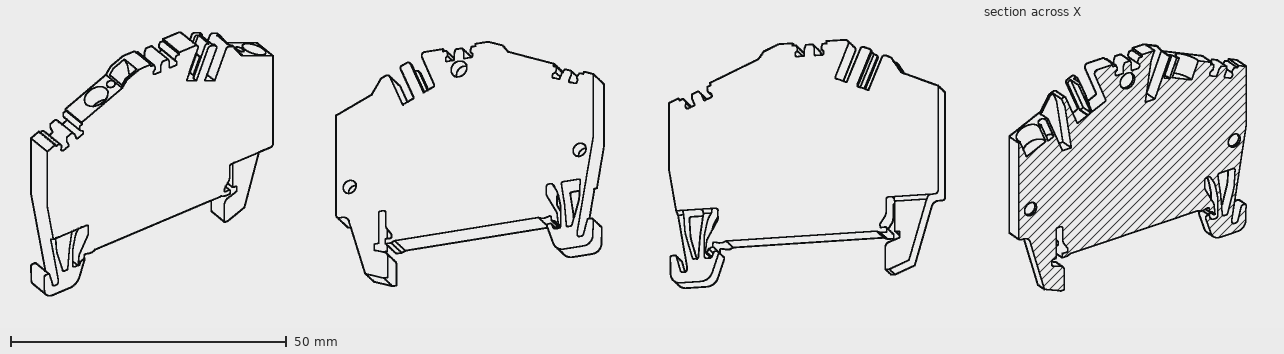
import cadquery as cq
import math

LENGTH = 50.5
HEIGHT = 43.25
WIDTH = 5.1
HALF_LENGTH = LENGTH / 2
TILT = math.radians(23)
ROOF_DROP = math.tan(TILT)
PAST = 0.5

EAVES_Z = 33.55
FOOT_TOP_Z = 13.3
BELLY_Z = 7.0
LATCH_Z = 6.7

FOOT_STEP = 0.95
FOOT_BEVEL_HEIGHT = 0.6

NOTCH_HALF = 3.2
TOP_NOTCH_Y = 1.1
FLANK_NOTCH_Y = -20.5

SLOT_CORNER = (12.15, 33.55)
SLOT_WIDTH = 2.35
RIDGE_WIDTH = 2.05
RIDGE_HEIGHT = 7.15
RIDGE_END = SLOT_WIDTH + RIDGE_WIDTH
SLOTS_END = RIDGE_END + SLOT_WIDTH

OUTER_RECESS_DEPTH = 0.8
OUTER_RECESS_WIDTH = 3.85
INNER_RECESS_DEPTH = 0.7
INNER_RECESS_WIDTH = 3.25
RIDGE_GROOVE_WIDTH = 1.2
RIDGE_GROOVE_HEIGHT = 3.85
RIDGE_GROOVE_DEPTH = 0.2

WIRE_WIDTH = 4.25
WIRE_LENGTH = 4.65
WIRE_DEPTH = 3.8
TEST_WIDTH = 1.75
TEST_LENGTH = 1.45
TEST_DEPTH = 4.05
LEFT_WIRE_Y = 22.85
LEFT_TEST_Y = 19.65
RIGHT_WIRE_Y = -12.45
RIGHT_TEST_Y = -9.2
POCKET_WIDTH = 3.85
POCKET_OFFSET = 0.2
POCKET_DEPTH = 8.1
POCKET_OPENING = 4.05
POCKET_BEND_DEPTH = 2.0
POCKET_LOWER_TILT = math.radians(9)
LEFT_POCKET_LOW = (18.65, 36.35)
LEFT_POCKET_HIGH = (15.8, 39.7)
RIGHT_POCKET_LOW = (-8.1, 40.6)
RIGHT_POCKET_HIGH = (-5.0, HEIGHT)

PIN_DEPTH = 2.5
PIN_HOLES = [(22.55, 19.05, 2.5), (-22.55, 19.05, 2.5), (TOP_NOTCH_Y, 38.8, 3.1)]


def left_roof(y):
    return EAVES_Z + (HALF_LENGTH - y) * ROOF_DROP


def right_roof(y):
    return EAVES_Z + (HALF_LENGTH + y) * ROOF_DROP


def slot_point(across, up, radius=0.0):
    """Outline corner given in the frame of the lever slots."""
    y = SLOT_CORNER[0] - across * math.cos(TILT) + up * math.sin(TILT)
    z = SLOT_CORNER[1] + across * math.sin(TILT) + up * math.cos(TILT)
    return (y, z, radius)


def marker_notch(y, z, angle):
    """Twin undercut notch with a centre post, from its +Y edge to its -Y edge."""
    half = [
        (NOTCH_HALF, 0, 0), (NOTCH_HALF, -0.45, 0), (2.45, -0.45, 0.15), (2.2, -1.1, 0.15),
        (2.25, -1.5, 0), (2.65, -1.85, 0.15), (2.65, -2.6, 0.3), (0.95, -2.6, 0.15),
        (0.95, -1.2, 0.25), (0.65, -0.45, 0.15),
    ]
    corners = half + [(-across, up, radius) for across, up, radius in reversed(half)]
    return [
        (
            y + across * math.cos(angle) - up * math.sin(angle),
            z + across * math.sin(angle) + up * math.cos(angle),
            radius,
        )
        for across, up, radius in corners
    ]


def rounded_profile(corners, x_start, thickness):
    """Extrude a closed outline of (y, z, corner radius) along +X."""
    wire = None
    count = len(corners)
    for i, (y, z, radius) in enumerate(corners):
        corner = cq.Vector(y, z)
        back = cq.Vector(*corners[i - 1][:2]) - corner
        ahead = cq.Vector(*corners[(i + 1) % count][:2]) - corner
        back = back.normalized()
        ahead = ahead.normalized()
        half_angle = back.getAngle(ahead) / 2
        setback = radius / math.tan(half_angle)
        start = corner + back * setback
        if wire is None:
            wire = cq.Workplane("YZ", origin=(x_start, 0, 0)).moveTo(start.x, start.y)
        else:
            wire = wire.lineTo(start.x, start.y)
        if radius > 0:
            to_arc = radius / math.sin(half_angle) - radius
            middle = corner + (back + ahead).normalized() * to_arc
            end = corner + ahead * setback
            wire = wire.threePointArc((middle.x, middle.y), (end.x, end.y))
    return wire.close().extrude(thickness)


def sharp(points):
    return [(y, z, 0) for y, z in points]


def body():
    """Full-width plate; the outline runs from the +Y eaves over the roof to -Y and back below."""
    roof = [
        (HALF_LENGTH, EAVES_Z, 0), (18.3, left_roof(18.3), 0),
        (16.4, 39.4, 0.4), slot_point(0, 7.05, 0.6),
        slot_point(0, 0), slot_point(SLOT_WIDTH, 0, 0.2),
        slot_point(SLOT_WIDTH, RIDGE_HEIGHT, 0.45), slot_point(RIDGE_END, RIDGE_HEIGHT, 0.55),
        slot_point(RIDGE_END, 0), slot_point(SLOTS_END, 0, 0.2),
        (8.8, HEIGHT, 0.65),
    ]
    crest = [(-4.65, HEIGHT, 0.75), (-7.4, 42.05, 0.4), (-8.5, right_roof(-8.5), 0)]
    right_foot = [
        (-HALF_LENGTH, EAVES_Z, 0), (-HALF_LENGTH, 21.15, 2.0),
        (-22.1, 3.05, 0), (-22.1, 1.95, 0.45), (-23.25, 1.95, 0.45),
        (-24.15, 5.2, 0.3), (-HALF_LENGTH, 5.2, 0.4), (-25.15, 0, 1.8), (-17.9, 0, 2.25),
        (-16.0, 5.45, 0.35), (-17.0, 5.45, 0.25), (-17.45, 4.3, 0.6),
        (-18.85, 4.3, 0.4), (-18.85, 8.6, 4.05), (-18.2, 11.6, 4.05), (-17.1, FOOT_TOP_Z, 0.25),
        (-16.05, FOOT_TOP_Z, 0.45), (-16.05, 11.15, 0.75), (-18.15, 7.35, 0.75),
        (-18.4, 5.1, 0), (-18.1, 5.1, 0),
        (-17.8, 5.75, 0), (-16.95, 6.1, 0), (-16.95, 7.0, 0.25), (-15.75, LATCH_Z, 0.25),
        (-15.2, LATCH_Z, 0.25), (-14.5, BELLY_Z, 0),
    ]
    left_foot = [
        (13.75, BELLY_Z, 0), (14.45, LATCH_Z, 0), (15.6, LATCH_Z, 0.15), (15.6, 7.75, 0.25),
        (14.4, 7.65, 0.25), (14.35, 8.3, 0.2), (15.5, 10.0, 1.5),
        (15.5, FOOT_TOP_Z, 0.45), (16.85, FOOT_TOP_Z, 0.3), (16.85, BELLY_Z, 0.15),
        (17.8, BELLY_Z, 0.3), (17.8, 5.8, 0.25), (15.05, 4.85, 1.1),
        (15.05, 0, 0.15), (15.85, 0, 0), (19.55, 1.45, 0.2),
        (23.05, FOOT_TOP_Z, 1.3), (HALF_LENGTH, FOOT_TOP_Z, 0.6),
    ]
    outline = (
        roof
        + marker_notch(TOP_NOTCH_Y, HEIGHT, 0)
        + crest
        + marker_notch(FLANK_NOTCH_Y, right_roof(FLANK_NOTCH_Y), TILT)
        + right_foot
        + left_foot
    )
    return rounded_profile(outline, -WIDTH / 2, WIDTH)


def foot_window():
    """Opening that leaves a thin spring arm on each side of the -Y foot."""
    corners = [
        (-18.95, FOOT_TOP_Z, 0.35), (-22.7, FOOT_TOP_Z, 0.35), (-22.45, 9.35, 6.05),
        (-21.0, 4.3, 0.35), (-20.0, 4.3, 0.35), (-19.65, 8.6, 6.05),
    ]
    return rounded_profile(corners, -WIDTH / 2 - PAST, WIDTH + 2 * PAST)


def foot_step(border):
    """Cutter that thins one foot from +X; the border keeps the latch fingers at full width."""
    step_x = WIDTH / 2 - FOOT_STEP
    cutter = rounded_profile(sharp(border), step_x, FOOT_STEP + PAST)
    reach = FOOT_STEP + PAST
    rise = FOOT_BEVEL_HEIGHT * reach / FOOT_STEP
    low_z = FOOT_TOP_Z - FOOT_BEVEL_HEIGHT
    above_bevel = (
        cq.Workplane("XZ", origin=(0, LENGTH, 0))
        .polyline([
            (step_x, low_z), (step_x + reach, low_z + rise),
            (step_x + reach, HEIGHT), (step_x, HEIGHT),
        ])
        .close()
        .extrude(2 * LENGTH)
    )
    return cutter.cut(above_bevel)


def foot_steps():
    over_top = FOOT_TOP_Z + PAST
    outside = HALF_LENGTH + PAST
    right_border = [
        (-outside, over_top), (-16.8, over_top), (-16.6, 12.8), (-18.6, 7.3), (-18.6, 4.8),
        (-17.95, 4.85), (-17.3, 5.75), (-15.15, 5.75), (-15.15, -PAST), (-outside, -PAST),
    ]
    left_border = [
        (outside, over_top), (16.15, over_top), (16.15, 6.2),
        (14.15, 6.2), (14.15, -PAST), (outside, -PAST),
    ]
    return foot_step(right_border).union(foot_step(left_border))


def ridge_recess(across_from, across_to, up_from, up_to, width):
    """Rectangular cutter in the frame of the lever slots, centred on the thickness."""
    corners = [
        slot_point(across_from, up_from), slot_point(across_from, up_to),
        slot_point(across_to, up_to), slot_point(across_to, up_from),
    ]
    return rounded_profile(corners, -width / 2, width)


def ridge_recesses():
    over_ridge = RIDGE_HEIGHT + PAST
    outer_floor = SLOT_WIDTH + OUTER_RECESS_DEPTH
    inner_floor = RIDGE_END - INNER_RECESS_DEPTH
    outer = ridge_recess(SLOT_WIDTH, outer_floor, 0, over_ridge, OUTER_RECESS_WIDTH)
    inner = ridge_recess(inner_floor, RIDGE_END, 0, over_ridge, INNER_RECESS_WIDTH)
    groove_floor = inner_floor - RIDGE_GROOVE_DEPTH
    groove = ridge_recess(groove_floor, RIDGE_END, 0, RIDGE_GROOVE_HEIGHT, RIDGE_GROOVE_WIDTH)
    return outer.union(inner).union(groove)


def flank_plane(y, z, side):
    """Plane on a roof flank, its normal pointing out; side is +1 for +Y, -1 for -Y."""
    normal = (0, side * math.sin(TILT), math.cos(TILT))
    return cq.Plane(origin=(0, y, z), xDir=(1, 0, 0), normal=normal)


def flank_hole(y, z, side, width, length, depth):
    """Oval hole square to a roof flank, open at the flank."""
    floor = cq.Workplane(flank_plane(y, z, side)).workplane(offset=-depth)
    return floor.ellipse(width / 2, length / 2).extrude(depth + PAST)


def pocket(low_edge, high_edge, side):
    """Pocket behind a roof step, square to the flank; its undercut wall turns steeper at a bend."""
    def inward(point, distance):
        y, z = point
        return (y - side * distance * math.sin(TILT), z - distance * math.cos(TILT))

    low_floor = inward(low_edge, POCKET_DEPTH)
    bend = inward(high_edge, POCKET_BEND_DEPTH)
    lower_run = (bend[1] - low_floor[1]) * math.tan(POCKET_LOWER_TILT)
    corners = [
        inward(low_edge, -POCKET_OPENING), low_floor,
        (bend[0] - side * lower_run, low_floor[1]), bend, inward(high_edge, -POCKET_OPENING),
    ]
    return rounded_profile(sharp(corners), POCKET_OFFSET - POCKET_WIDTH / 2, POCKET_WIDTH)


def pin_hole(y, z, diameter):
    face = cq.Workplane("YZ", origin=(-WIDTH / 2, y, z))
    return face.circle(diameter / 2).extrude(PIN_DEPTH)


FLANKS = [
    (LEFT_WIRE_Y, LEFT_TEST_Y, left_roof, 1),
    (RIGHT_WIRE_Y, RIGHT_TEST_Y, right_roof, -1),
]

result = body().cut(foot_window()).cut(foot_steps()).cut(ridge_recesses())
for wire_y, test_y, roof, side in FLANKS:
    wire_entry = flank_hole(wire_y, roof(wire_y), side, WIRE_WIDTH, WIRE_LENGTH, WIRE_DEPTH)
    test_hole = flank_hole(test_y, roof(test_y), side, TEST_WIDTH, TEST_LENGTH, TEST_DEPTH)
    result = result.cut(wire_entry).cut(test_hole)
result = result.cut(pocket(LEFT_POCKET_LOW, LEFT_POCKET_HIGH, 1))
result = result.cut(pocket(RIGHT_POCKET_LOW, RIGHT_POCKET_HIGH, -1))
for hole in PIN_HOLES:
    result = result.cut(pin_hole(*hole))